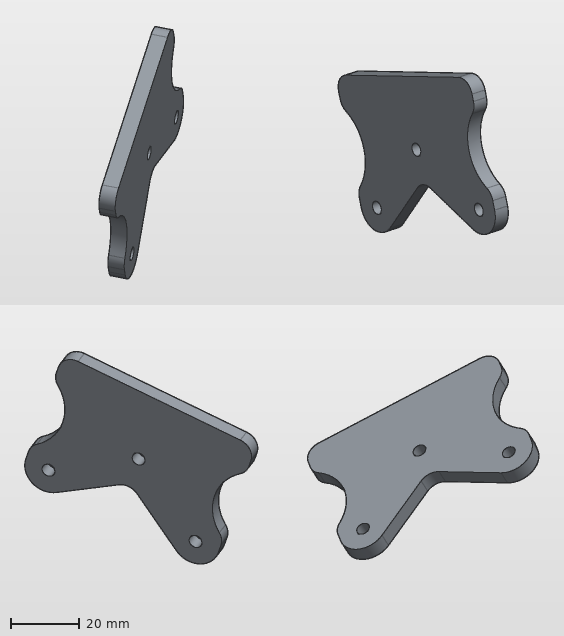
import cadquery as cq
import math

thickness = 5.0
tilt_angle = 17.0
top_height = 22.15

hole_diameter = 4.0
arm_hole_offset = 24.15
arm_hole_drop = 17.8

arm_end_radius = 7.5
top_corner_radius = 5.0
crotch_radius = 5.0

side_cut_radius = 15.0
side_cut_offset = 40.0
side_cut_tip_radius = 5.0

half_width = arm_hole_offset + arm_end_radius
arm_angle = math.atan2(arm_hole_drop, arm_hole_offset)
crotch_height = -arm_end_radius / math.cos(arm_angle)
arm_corner_height = crotch_height - half_width * math.tan(arm_angle)

tip_height = math.sqrt(side_cut_radius**2 - (side_cut_offset - half_width) ** 2)


def round_corner(body, y, z, radius):
    """Round the edge through the plate thickness nearest to (y, z)."""
    edge = cq.selectors.NearestToPointSelector((thickness / 2, y, z))
    return body.edges("|X").edges(edge).fillet(radius)


plate = (
    cq.Workplane("YZ")
    .polyline(
        [
            (-half_width, top_height),
            (half_width, top_height),
            (half_width, arm_corner_height),
            (0, crotch_height),
            (-half_width, arm_corner_height),
        ]
    )
    .close()
    .extrude(thickness)
)

side_cuts = (
    cq.Workplane("YZ")
    .pushPoints([(-side_cut_offset, 0), (side_cut_offset, 0)])
    .circle(side_cut_radius)
    .extrude(thickness)
)
plate = plate.cut(side_cuts)

plate = round_corner(plate, 0, crotch_height, crotch_radius)
for side in (-1, 1):
    edge_y = side * half_width
    plate = round_corner(plate, edge_y, top_height, top_corner_radius)
    plate = round_corner(plate, edge_y, arm_corner_height, arm_end_radius)
    plate = round_corner(plate, edge_y, tip_height, side_cut_tip_radius)
    plate = round_corner(plate, edge_y, -tip_height, side_cut_tip_radius)

holes = (
    cq.Workplane("YZ")
    .pushPoints(
        [
            (0, 0),
            (-arm_hole_offset, -arm_hole_drop),
            (arm_hole_offset, -arm_hole_drop),
        ]
    )
    .circle(hole_diameter / 2)
    .extrude(thickness)
)

result = plate.cut(holes).rotate((0, 0, 0), (1, 0, 0), tilt_angle)